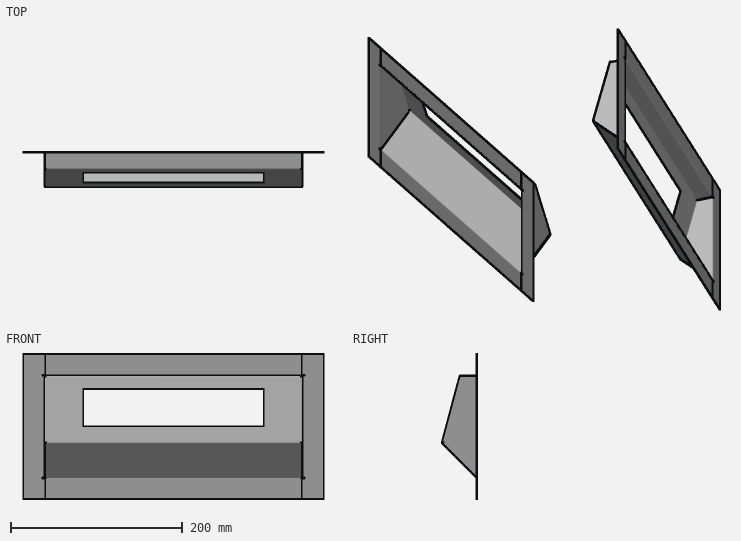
import cadquery as cq
import math

flange_length = 350.0
flange_height = 169.0
sheet = 1.0

inner_radius = 1.0
outer_radius = inner_radius + sheet

hood_depth = 41.3
hood_length = 300.5
border_height = 25.0
hood_top = flange_height / 2 - border_height
hood_bottom = -hood_top
front_tilt = math.radians(15)
underside_tilt = math.radians(45)

nose_half_turn = (front_tilt + underside_tilt) / 2
nose_direction = (underside_tilt - front_tilt) / 2
nose_out = math.cos(nose_direction) / math.cos(nose_half_turn)
nose_down = math.sin(nose_direction) / math.cos(nose_half_turn)
nose_depth = hood_depth + outer_radius * (nose_out - 1)
nose_height = hood_bottom + (nose_depth - sheet) / math.tan(underside_tilt)
top_depth = nose_depth - (hood_top - nose_height) * math.tan(front_tilt)

window_length = 210.0
window_height = 44.8
window_drop = 16.5

seam_width = 0.18
relief_length = 3.0
relief_height = 1.0

rim_margin = 0.5

front_normal = cq.Vector(0, -math.cos(front_tilt), math.sin(front_tilt))


def hood_block(inset, bend_radius):
    """Solid hood lying `inset` inside the outer skin, rounded around its front panel."""
    top = hood_top - inset
    top_front = top_depth - inset * math.tan((math.pi / 2 - front_tilt) / 2)
    nose = nose_depth - inset * nose_out
    nose_z = nose_height + inset * nose_down
    foot = nose_z - nose / math.tan(underside_tilt)
    profile = [(0, top), (-top_front, top), (-nose, nose_z), (0, foot)]
    half_length = hood_length / 2 - inset
    block = cq.Workplane("YZ").polyline(profile).close().extrude(half_length, both=True)
    front_panel = block.faces(cq.selectors.DirectionMinMaxSelector(front_normal))
    return front_panel.edges().fillet(bend_radius)


def rim_edges(body, half_length, depth, bottom, top):
    """Edges of the hood outline lying flat at `depth` in front of the flange back."""
    zone = cq.selectors.BoxSelector(
        (-half_length - rim_margin, -depth - rim_margin, bottom - rim_margin),
        (half_length + rim_margin, -depth + rim_margin, top + rim_margin),
        boundingbox=True,
    )
    return body.edges(zone)


def hood_on_flange():
    """Flange and hollow hood as one sheet, bent where they meet."""
    flange = cq.Workplane("XY").box(flange_length, sheet, flange_height).translate((0, -sheet / 2, 0))
    body = flange.union(hood_block(0, outer_radius))
    body = rim_edges(body, hood_length / 2, sheet, hood_bottom, hood_top).fillet(inner_radius)
    body = body.cut(hood_block(sheet, inner_radius))
    return rim_edges(body, hood_length / 2 - sheet, 0, hood_bottom, hood_top - sheet).fillet(outer_radius)


def window_cutter():
    """Rectangular opening cut square through the front panel."""
    panel = cq.Plane(origin=(0, -top_depth, hood_top), xDir=(1, 0, 0), normal=front_normal)
    opening = cq.Workplane(panel).center(0, -window_drop - window_height / 2)
    return opening.rect(window_length, window_height).extrude(2 * sheet, both=True)


def box_between(low, high):
    """Box spanning two opposite corners."""
    size = [end - start for start, end in zip(low, high)]
    return cq.Workplane("XY").box(*size, centered=False).translate(low)


def seam_cutter(side):
    """Slits and corner reliefs at one end of the hood; side is -1 or +1."""
    seam_outer = hood_length / 2 - sheet
    seam_inner = seam_outer - seam_width
    flange_edge = flange_height / 2
    top_slit_front = outer_radius - top_depth
    under_slit_front = outer_radius - nose_depth

    cutter = box_between((seam_inner, top_slit_front, hood_top - outer_radius - sheet),
                         (seam_outer, 0, flange_edge))
    cutter = cutter.union(box_between((seam_inner, top_slit_front, hood_top - sheet),
                                      (hood_length / 2, 0, hood_top)))
    under_slit_profile = [
        (0, -flange_edge),
        (0, hood_bottom + outer_radius),
        (under_slit_front, nose_height + sheet),
        (under_slit_front, -flange_edge),
    ]
    under_slit = cq.Workplane("YZ", origin=(seam_inner, 0, 0)).polyline(under_slit_profile).close()
    cutter = cutter.union(under_slit.extrude(seam_width))
    for z in (hood_top, hood_bottom):
        relief = box_between((seam_inner, -outer_radius, z - relief_height / 2),
                             (seam_inner + relief_length, 0, z + relief_height / 2))
        cutter = cutter.union(relief)
    return cutter if side > 0 else cutter.mirror("YZ")


result = hood_on_flange().cut(window_cutter())
for side in (-1, 1):
    result = result.cut(seam_cutter(side))